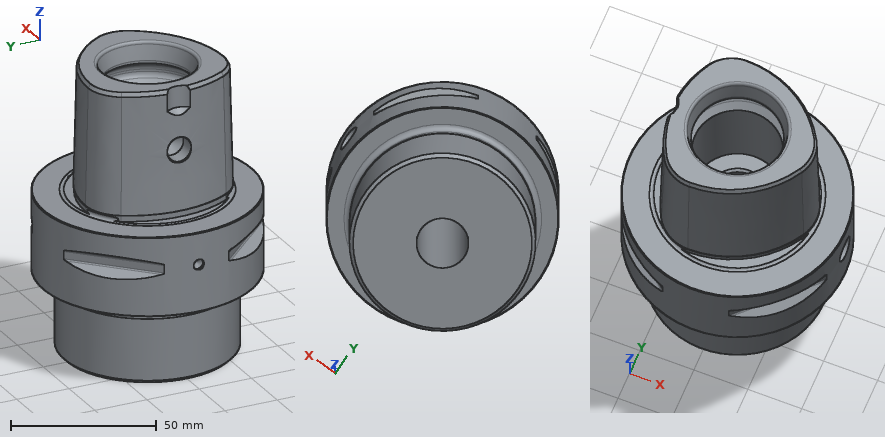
import cadquery as cq
import math

total_height = 107.0
flange_bottom = 29.0
flange_top = 59.0
root_top = 61.2

flange_radius = 40.0
flange_chamfer = 0.3
body_radius = 32.0
body_chamfer = 1.3
neck_fillet = 2.0
neck_relief = 0.1
neck_bottom = 24.5

shank_radius = 27.5
lobe_offset = 14.7
lobe_spacing = 120
lobe_directions = (0, lobe_spacing, 2 * lobe_spacing)
lobe_half_angle = 30
arc_radius_step = lobe_offset * math.cos(math.radians(lobe_half_angle))
taper_slope = 1 / 40
root_relief = 0.2
tip_chamfer_height = 1.5
tip_chamfer_width = 0.9

root_groove_radius = 29.5
root_groove_height = 59.7
root_groove_section = 1.1

rim_round = 1.1
mouth_radius = 17.3
lip_radius = 32.0 / 2
lip_top = 100.4
clamp_groove_radius = 19.5
clamp_groove_middle = 95.1
clamp_groove_land = 0.9
clamp_groove_fillet = 2.5
clamp_groove_flank_angle = 35
lower_bore_radius = 15.7
bore_floor = flange_top
through_radius = 17.9 / 2
through_chamfer_width = 1.1
through_chamfer_angle = 30

gripper_height = 46.9
gripper_distance = 35.6
gripper_bottom_width = 3.5
gripper_flank_angle = 30
gripper_fillet = 0.6
gripper_directions = (45, 135, 225, 315)

chip_radius = 9.1 / 2
chip_depth = 4.5

point_angle = 118
dimple_radius = 4.0 / 2
dimple_depth = 1.1
side_hole_radius = 9.1 / 2
side_hole_height = 84.1
side_hole_bottom = 18.7
side_hole_chamfer = 0.3
slot_radius = 6.0
slot_inner_reach = 22.5
slot_bottom = 99.2


def polar(radius, degrees):
    angle = math.radians(degrees)
    return radius * math.cos(angle), radius * math.sin(angle)


def mean_radius_at(z):
    """Mean radius of the tapered shank at a height."""
    return shank_radius - taper_slope * (z - root_top)


def lobed_wire(mean_radius, z):
    """Closed outline of six tangent arcs: three tight lobes and three wide flanks."""
    lobe_radius = mean_radius - arc_radius_step
    flank_radius = mean_radius + arc_radius_step

    def joint(lobe, side):
        cx, cy = polar(lobe_offset, lobe)
        dx, dy = polar(lobe_radius, lobe + side * lobe_half_angle)
        return cx + dx, cy + dy

    outline = cq.Workplane("XY", origin=(0, 0, z)).moveTo(*joint(lobe_directions[0], -1))
    for lobe in lobe_directions:
        outline = outline.threePointArc(polar(lobe_offset + lobe_radius, lobe), joint(lobe, 1))
        flank_middle = polar(flank_radius - lobe_offset, lobe + lobe_spacing / 2)
        outline = outline.threePointArc(flank_middle, joint(lobe + lobe_spacing, -1))
    return outline.close().val()


def lobed_solid(radius_low, z_low, radius_high, z_high):
    wires = [lobed_wire(radius_low, z_low), lobed_wire(radius_high, z_high)]
    return cq.Workplane(cq.Solid.makeLoft(wires, True))


def drill(radius, depth, start):
    """Cylinder with a conical drill point, drilled along +X from a start point."""
    point = radius / math.tan(math.radians(point_angle / 2))
    profile = cq.Workplane("XZ").polyline([(0, 0), (radius, 0), (radius, depth), (0, depth + point)]).close()
    tool = profile.revolve(360, (0, 0), (0, 1)).rotate((0, 0, 0), (0, 1, 0), 90)
    return tool.translate(start)


def flange_and_body():
    neck_radius = body_radius - neck_relief
    profile = (
        cq.Workplane("XZ")
        .moveTo(0, 0)
        .lineTo(body_radius - body_chamfer, 0)
        .lineTo(body_radius, body_chamfer)
        .lineTo(body_radius, neck_bottom)
        .lineTo(neck_radius, neck_bottom)
        .lineTo(neck_radius, flange_bottom - neck_fillet)
        .tangentArcPoint((neck_radius + neck_fillet, flange_bottom), relative=False)
        .lineTo(flange_radius - flange_chamfer, flange_bottom)
        .lineTo(flange_radius, flange_bottom + flange_chamfer)
        .lineTo(flange_radius, flange_top - flange_chamfer)
        .lineTo(flange_radius - flange_chamfer, flange_top)
        .lineTo(0, flange_top)
        .close()
    )
    return profile.revolve(360, (0, 0), (0, 1))


def shank():
    chamfer_start = total_height - tip_chamfer_height
    end_radius = mean_radius_at(chamfer_start)
    root_radius = shank_radius - root_relief
    root = lobed_solid(root_radius, flange_top, root_radius, root_top)
    taper = lobed_solid(shank_radius, root_top, end_radius, chamfer_start)
    tip = lobed_solid(end_radius, chamfer_start, end_radius - tip_chamfer_width, total_height)
    return root.union(taper).union(tip)


def root_groove():
    section = cq.Workplane("XZ").center(root_groove_radius, root_groove_height).circle(root_groove_section)
    return section.revolve(360, (-root_groove_radius, 0), (-root_groove_radius, 1))


def clamping_bore():
    flank = math.radians(clamp_groove_flank_angle)
    half_land = clamp_groove_land / 2
    blend_height = half_land + clamp_groove_fillet * math.cos(flank)
    blend_radius = clamp_groove_radius - clamp_groove_fillet * (1 - math.sin(flank))
    lip_bottom = clamp_groove_middle + blend_height + (blend_radius - lip_radius) * math.tan(flank)
    flank_bottom = clamp_groove_middle - blend_height - (blend_radius - lower_bore_radius) * math.tan(flank)
    through_chamfer_height = through_chamfer_width * math.tan(math.radians(through_chamfer_angle))
    rim_middle = rim_round * (1 - math.sqrt(0.5))
    profile = (
        cq.Workplane("XZ")
        .moveTo(0, total_height)
        .lineTo(mouth_radius + rim_round, total_height)
        .threePointArc(
            (mouth_radius + rim_middle, total_height - rim_middle),
            (mouth_radius, total_height - rim_round),
        )
        .lineTo(lip_radius, lip_top)
        .lineTo(lip_radius, lip_bottom)
        .lineTo(blend_radius, clamp_groove_middle + blend_height)
        .tangentArcPoint((clamp_groove_radius, clamp_groove_middle + half_land), relative=False)
        .lineTo(clamp_groove_radius, clamp_groove_middle - half_land)
        .tangentArcPoint((blend_radius, clamp_groove_middle - blend_height), relative=False)
        .lineTo(lower_bore_radius, flank_bottom)
        .lineTo(lower_bore_radius, bore_floor)
        .lineTo(through_radius + through_chamfer_width, bore_floor)
        .lineTo(through_radius, bore_floor - through_chamfer_height)
        .lineTo(through_radius, 0)
        .lineTo(0, 0)
        .close()
    )
    return profile.revolve(360, (0, 0), (0, 1))


def gripper_groove(direction):
    depth = flange_radius - gripper_distance
    inner = gripper_bottom_width / 2
    outer = inner + depth * math.tan(math.radians(gripper_flank_angle))
    section = cq.Workplane("XZ", origin=(0, 0, gripper_height)).polyline(
        [
            (gripper_distance, -inner),
            (flange_radius, -outer),
            (flange_radius, outer),
            (gripper_distance, inner),
        ]
    )
    groove = section.close().extrude(flange_radius, both=True)
    groove = groove.faces("<X").edges("|Y").fillet(gripper_fillet)
    return groove.rotate((0, 0, 0), (0, 0, 1), direction)


def chip_pocket():
    floor = flange_radius - chip_depth
    section = cq.Workplane("YZ", origin=(floor, 0, gripper_height)).circle(chip_radius)
    return section.extrude(chip_depth)


def side_hole():
    hole = drill(side_hole_radius, flange_radius - side_hole_bottom, (-flange_radius, 0, side_hole_height))
    local_radius = mean_radius_at(side_hole_height)
    face = local_radius + arc_radius_step - lobe_offset
    mouth = side_hole_radius + side_hole_chamfer
    countersink = cq.Workplane(
        cq.Solid.makeCone(mouth, 0, mouth, pnt=cq.Vector(-face, 0, side_hole_height), dir=cq.Vector(1, 0, 0))
    )
    return hole.union(countersink)


def key_slot():
    """Vertical slot of a 90 degree pointed cutter, tilted to run parallel to the tapered surface."""
    axis = slot_inner_reach + slot_radius
    cutter_top = total_height + slot_radius
    profile = cq.Workplane("XZ", origin=(-axis, 0, 0)).polyline(
        [
            (0, cutter_top),
            (slot_radius, cutter_top),
            (slot_radius, slot_bottom),
            (0, slot_bottom - slot_radius),
        ]
    )
    cutter = profile.close().revolve(360, (0, 0), (0, 1))
    tilt = math.degrees(math.atan(taper_slope))
    return cutter.rotate((-axis, 0, slot_bottom), (-axis, 1, slot_bottom), tilt)


result = flange_and_body().union(shank()).cut(root_groove()).cut(clamping_bore())
for direction in gripper_directions:
    result = result.cut(gripper_groove(direction))
result = result.cut(chip_pocket())
result = result.cut(drill(dimple_radius, dimple_depth, (-flange_radius, 0, gripper_height)))
result = result.cut(side_hole()).cut(key_slot())